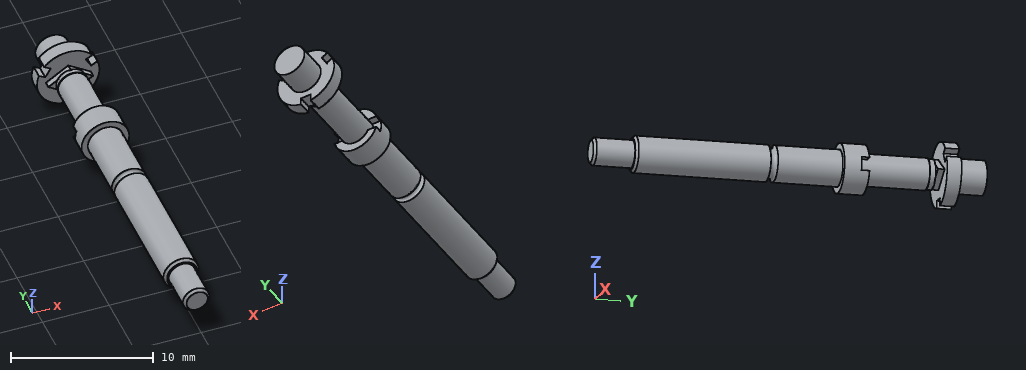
import cadquery as cq

flange_start = 2.17
flange_end = 3.22
diamond_end = 3.7
undercut_end = 4.13
collar_start = 8.7
collar_end = 10.52
groove_station = 15.48
barrel_end = 25.55
total_length = 28.5

stub_diameter = 2.5
flange_diameter = 4.7
undercut_diameter = 2.2
neck_diameter = 2.3
collar_diameter = 3.6
barrel_diameter = 2.65
tip_diameter = 2.0

chamfer_size = 0.2
groove_radius = 0.25

diamond_width = 3.35
diamond_height = 2.2

flange_notch_width = 0.8
flange_notch_floor_radius = 1.77
flange_notch_angles = (30, 150, 270)

collar_slot_width = 0.97
collar_slot_depth = 0.57


def front_plane(station):
    """Plane across the axis at a station, with its normal toward the tip (-Y)."""
    return cq.Workplane("XZ", origin=(0, -station, 0))


def cylinder(diameter, start, end):
    return front_plane(start).circle(diameter / 2).extrude(end - start)


def make_flange():
    flange = cylinder(flange_diameter, flange_start, flange_end)
    notch_length = flange_diameter / 2
    for angle in flange_notch_angles:
        notch = (
            front_plane(flange_start)
            .center(flange_notch_floor_radius + notch_length / 2, 0)
            .rect(notch_length, flange_notch_width)
            .extrude(flange_end - flange_start)
            .rotate((0, 0, 0), (0, 1, 0), -angle)
        )
        flange = flange.cut(notch)
    return flange


def make_diamond():
    half_width = diamond_width / 2
    half_height = diamond_height / 2
    return (
        front_plane(flange_end)
        .polyline([(half_width, 0), (0, half_height), (-half_width, 0), (0, -half_height)])
        .close()
        .extrude(diamond_end - flange_end)
    )


def make_collar():
    collar = cylinder(collar_diameter, collar_start, collar_end)
    slot = (
        front_plane(collar_start)
        .rect(collar_diameter, collar_slot_width)
        .extrude(collar_slot_depth)
    )
    return collar.cut(slot)


def make_barrel():
    """Barrel with a semicircular groove around it and a chamfered front edge."""
    barrel = cylinder(barrel_diameter, collar_end, barrel_end).faces("<Y").chamfer(chamfer_size)
    groove = (
        cq.Workplane("XY")
        .center(barrel_diameter / 2, -groove_station)
        .circle(groove_radius)
        .revolve(360, (-barrel_diameter / 2, 0, 0), (-barrel_diameter / 2, 1, 0))
    )
    return barrel.cut(groove)


stub = cylinder(stub_diameter, 0, flange_start)
undercut = cylinder(undercut_diameter, diamond_end, undercut_end)
neck = cylinder(neck_diameter, undercut_end, collar_end)
tip = cylinder(tip_diameter, barrel_end, total_length).faces("<Y").chamfer(chamfer_size)

result = stub
for section in (make_flange(), make_diamond(), undercut, neck, make_collar(), make_barrel(), tip):
    result = result.union(section)